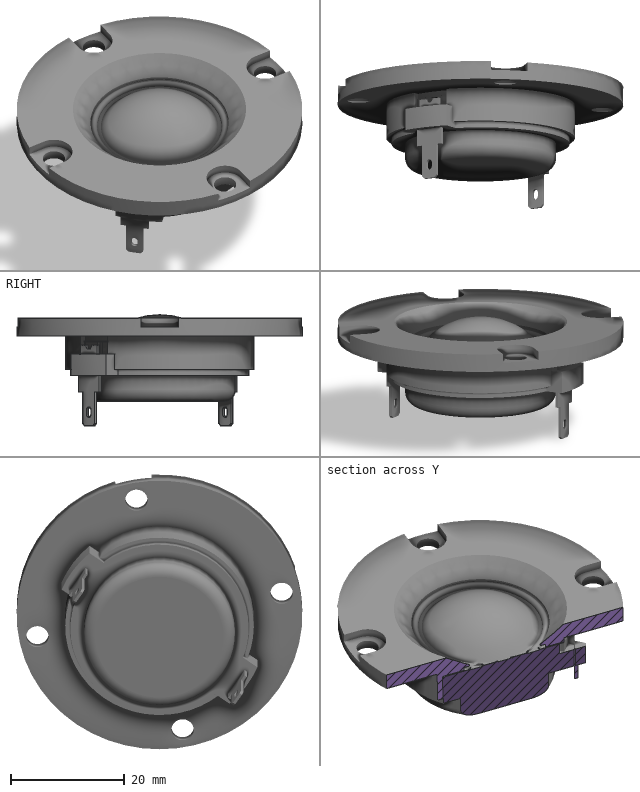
import cadquery as cq
import math


FLANGE_RADIUS = 25.25
FLANGE_HEIGHT = 3.2
FLARE_TOP_RADIUS = 15.3
FLARE_BOTTOM_RADIUS = 12.2
FLARE_BOTTOM_Z = 0.15
THROAT_BOTTOM_Z = -0.25
ROLL_RECESS_RADIUS = 12.9
SCREW_COUNT = 4
SCREW_CIRCLE_RADIUS = 21.95
SCREW_HOLE_RADIUS = 1.95
SCREW_SEAT_RADIUS = 3.3
SCREW_SEAT_Z = 1.6
SKIRT_RADIUS = 16.65
SKIRT_BOTTOM_Z = -5.9
WINDOW_WIDTH = 6.8
WINDOW_SIDE_SHIFT = 0.1

CLAMP_Z = -0.9
MEMBRANE_THICKNESS = 0.15
MEMBRANE_RADIUS = 15.45
ROLL_OUTER_RADIUS = 12.25
ROLL_INNER_RADIUS = 10.95
DOME_RADIUS = 10.35
DOME_TOP_Z = 3.8

MOTOR_TOP_Z = CLAMP_Z - MEMBRANE_THICKNESS
DISC_RADIUS = 15.75
DISC_BOTTOM_Z = -6.95
CUP_RADIUS = 13.35
CUP_BOTTOM_Z = -11.5
CUP_EDGE_RADIUS = 1.95
BLOCK_OUTER_RADIUS = 18.8
BLOCK_WIDTH = 8.45
BLOCK_TOP_Z = -3.2
FLAT_OFFSET = 15.4
LEAD_SLOT_WIDTH = 1.15
LEAD_SLOT_DEPTH = 0.65

TAB_TOP_Z = -1.6
TAB_SHOULDER_Z = -9.9
TAB_BOTTOM_Z = -15.85
TAB_UPPER_WIDTH = 4.1
TAB_MIDDLE_WIDTH = 5.1
TAB_TAIL_WIDTH = 3.05
TAB_THICKNESS = 0.5
TAB_INNER_OFFSET = 16.75
TAB_SIDE_SHIFT = 0.5
TAB_NOTCH_RADIUS = 0.7
TAB_EYE_LENGTH = 1.8
TAB_EYE_WIDTH = 1.1
TAB_EYE_Z = -13.45
TAB_CORNER_CHAMFER = 0.45

TERMINAL_ANGLES = (-45.0, 135.0)
TERMINAL_SIDES = (-1, 1)
MOTOR_TURN = 1.6


def cylinder(radius, bottom_z, top_z):
    return cq.Workplane("XY").workplane(offset=bottom_z).circle(radius).extrude(top_z - bottom_z)


def bar(inner_x, outer_x, width, bottom_z, top_z):
    """Block running outward along +X and centred on the X axis."""
    size = (outer_x - inner_x, width, top_z - bottom_z)
    return cq.Workplane("XY").box(*size, centered=(False, True, False)).translate((inner_x, 0, bottom_z))


def turn(shape, angle):
    return shape.rotate((0, 0, 0), (0, 0, 1), angle)


def terminal_block():
    """Motor block that carries one terminal tab, pointing along +X."""
    block = bar(0, BLOCK_OUTER_RADIUS, BLOCK_WIDTH, DISC_BOTTOM_Z, BLOCK_TOP_Z)
    return block.intersect(cylinder(BLOCK_OUTER_RADIUS, DISC_BOTTOM_Z, BLOCK_TOP_Z))


def make_tab(side_shift):
    """Flat stepped tab facing +X, moved sideways by side_shift."""
    upper = TAB_UPPER_WIDTH / 2
    middle = TAB_MIDDLE_WIDTH / 2
    tail = TAB_TAIL_WIDTH / 2
    plane = cq.Workplane("YZ", origin=(TAB_INNER_OFFSET, side_shift, 0))
    blank = (
        plane.moveTo(-TAB_NOTCH_RADIUS, TAB_TOP_Z)
        .threePointArc((0, TAB_TOP_Z - TAB_NOTCH_RADIUS), (TAB_NOTCH_RADIUS, TAB_TOP_Z))
        .lineTo(upper, TAB_TOP_Z)
        .lineTo(upper, DISC_BOTTOM_Z)
        .lineTo(middle, DISC_BOTTOM_Z)
        .lineTo(middle, TAB_SHOULDER_Z)
        .lineTo(tail, TAB_SHOULDER_Z)
        .lineTo(tail, TAB_BOTTOM_Z + TAB_CORNER_CHAMFER)
        .lineTo(tail - TAB_CORNER_CHAMFER, TAB_BOTTOM_Z)
        .lineTo(TAB_CORNER_CHAMFER - tail, TAB_BOTTOM_Z)
        .lineTo(-tail, TAB_BOTTOM_Z + TAB_CORNER_CHAMFER)
        .lineTo(-tail, TAB_SHOULDER_Z)
        .lineTo(-middle, TAB_SHOULDER_Z)
        .lineTo(-middle, DISC_BOTTOM_Z)
        .lineTo(-upper, DISC_BOTTOM_Z)
        .lineTo(-upper, TAB_TOP_Z)
        .close()
        .extrude(TAB_THICKNESS)
    )
    eye = plane.center(0, TAB_EYE_Z).slot2D(TAB_EYE_LENGTH, TAB_EYE_WIDTH, 90).extrude(TAB_THICKNESS)
    return blank.cut(eye)


def make_motor(tabs):
    cup = cylinder(CUP_RADIUS, CUP_BOTTOM_Z, DISC_BOTTOM_Z).faces("<Z").edges().fillet(CUP_EDGE_RADIUS)
    motor = cylinder(DISC_RADIUS, DISC_BOTTOM_Z, MOTOR_TOP_Z).union(cup)
    flat = bar(FLAT_OFFSET, BLOCK_OUTER_RADIUS, BLOCK_WIDTH, BLOCK_TOP_Z, MOTOR_TOP_Z)
    lead_slot = bar(FLAT_OFFSET - LEAD_SLOT_DEPTH, DISC_RADIUS, LEAD_SLOT_WIDTH, BLOCK_TOP_Z, MOTOR_TOP_Z)
    for angle in TERMINAL_ANGLES:
        motor_angle = angle + MOTOR_TURN
        motor = motor.union(turn(terminal_block(), motor_angle))
        motor = motor.cut(turn(flat, motor_angle))
        motor = motor.cut(turn(lead_slot, motor_angle))
    for tab in tabs:
        motor = motor.cut(tab)
    return motor


def make_face_plate():
    plate = cylinder(FLANGE_RADIUS, 0, FLANGE_HEIGHT)
    plate = plate.union(cylinder(SKIRT_RADIUS, SKIRT_BOTTOM_Z, 0))

    opening = (
        cq.Workplane("XZ")
        .moveTo(0, FLANGE_HEIGHT)
        .lineTo(FLARE_TOP_RADIUS, FLANGE_HEIGHT)
        .lineTo(FLARE_BOTTOM_RADIUS, FLARE_BOTTOM_Z)
        .lineTo(FLARE_BOTTOM_RADIUS, THROAT_BOTTOM_Z)
        .lineTo(ROLL_RECESS_RADIUS, THROAT_BOTTOM_Z)
        .lineTo(ROLL_RECESS_RADIUS, CLAMP_Z)
        .lineTo(DISC_RADIUS, CLAMP_Z)
        .lineTo(DISC_RADIUS, SKIRT_BOTTOM_Z)
        .lineTo(0, SKIRT_BOTTOM_Z)
        .close()
        .revolve(360, (0, 0, 0), (0, 1, 0))
    )
    plate = plate.cut(opening)

    hole = cylinder(SCREW_HOLE_RADIUS, 0, FLANGE_HEIGHT).translate((SCREW_CIRCLE_RADIUS, 0, 0))
    seat = cylinder(SCREW_SEAT_RADIUS, SCREW_SEAT_Z, FLANGE_HEIGHT).translate((SCREW_CIRCLE_RADIUS, 0, 0))
    seat_width = 2 * SCREW_SEAT_RADIUS
    seat = seat.union(bar(SCREW_CIRCLE_RADIUS, FLANGE_RADIUS, seat_width, SCREW_SEAT_Z, FLANGE_HEIGHT))
    for index in range(SCREW_COUNT):
        plate = plate.cut(turn(hole.union(seat), index * 360 / SCREW_COUNT))

    window = bar(0, BLOCK_OUTER_RADIUS, WINDOW_WIDTH, SKIRT_BOTTOM_Z, 0)
    window_back = cylinder(MEMBRANE_RADIUS, SKIRT_BOTTOM_Z, 0)
    for angle, side in zip(TERMINAL_ANGLES, TERMINAL_SIDES):
        shifted_window = window.translate((0, side * WINDOW_SIDE_SHIFT, 0))
        plate = plate.cut(turn(shifted_window.cut(window_back), angle))
        plate = plate.cut(turn(terminal_block(), angle + MOTOR_TURN))
    return plate


def make_diaphragm():
    roll_middle = (ROLL_OUTER_RADIUS + ROLL_INNER_RADIUS) / 2
    roll_height = (ROLL_OUTER_RADIUS - ROLL_INNER_RADIUS) / 2
    rise = DOME_TOP_Z - CLAMP_Z
    sphere_radius = (DOME_RADIUS**2 + rise**2) / (2 * rise)
    sphere_z = DOME_TOP_Z - sphere_radius
    inner_sphere_radius = sphere_radius - MEMBRANE_THICKNESS
    inner_dome_radius = math.sqrt(inner_sphere_radius**2 - (MOTOR_TOP_Z - sphere_z) ** 2)
    middle_angle = math.asin(DOME_RADIUS / sphere_radius) / 2

    def dome_point(radius):
        return radius * math.sin(middle_angle), sphere_z + radius * math.cos(middle_angle)

    return (
        cq.Workplane("XZ")
        .moveTo(0, DOME_TOP_Z)
        .threePointArc(dome_point(sphere_radius), (DOME_RADIUS, CLAMP_Z))
        .lineTo(ROLL_INNER_RADIUS, CLAMP_Z)
        .threePointArc((roll_middle, CLAMP_Z + roll_height), (ROLL_OUTER_RADIUS, CLAMP_Z))
        .lineTo(MEMBRANE_RADIUS, CLAMP_Z)
        .lineTo(MEMBRANE_RADIUS, MOTOR_TOP_Z)
        .lineTo(ROLL_OUTER_RADIUS - MEMBRANE_THICKNESS, MOTOR_TOP_Z)
        .threePointArc(
            (roll_middle, CLAMP_Z + roll_height - MEMBRANE_THICKNESS),
            (ROLL_INNER_RADIUS + MEMBRANE_THICKNESS, MOTOR_TOP_Z),
        )
        .lineTo(inner_dome_radius, MOTOR_TOP_Z)
        .threePointArc(dome_point(inner_sphere_radius), (0, DOME_TOP_Z - MEMBRANE_THICKNESS))
        .close()
        .revolve(360, (0, 0, 0), (0, 1, 0))
    )


tabs = []
for angle, side in zip(TERMINAL_ANGLES, TERMINAL_SIDES):
    tabs.append(turn(make_tab(side * TAB_SIDE_SHIFT), angle))

face_plate = make_face_plate()
diaphragm = make_diaphragm()
motor = make_motor(tabs)

bodies = [face_plate, diaphragm, motor, *tabs]
result = cq.Compound.makeCompound([body.solids().val() for body in bodies])